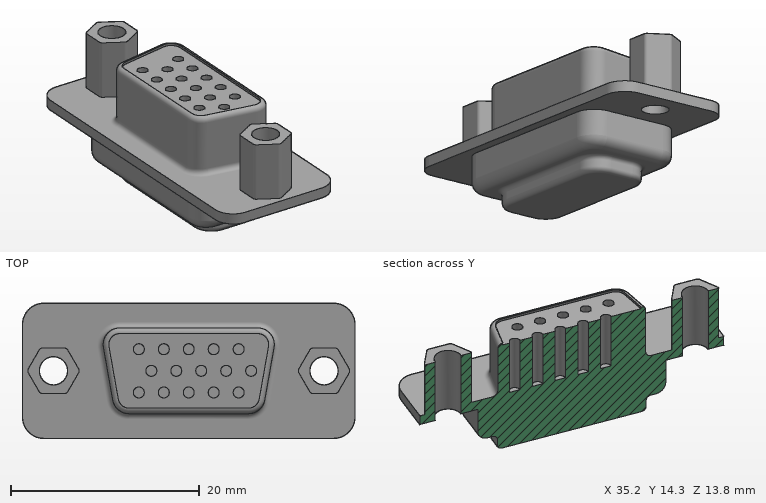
import cadquery as cq
import math

FLANGE_LENGTH = 35.25
FLANGE_WIDTH = 14.35
FLANGE_THICKNESS = 1.2
FLANGE_CORNER = 2.3

SHELL_TOP = 7.9
SHELL_DEPTH = 9.1
SHELL_MID_LENGTH = 17.2
SHELL_SLANT = 10
SHELL_CORNER = 1.75
SHELL_FILLET = 0.6
SHELL_RECESS = 0.25
CONTACT_FACE = SHELL_TOP - SHELL_RECESS

CONTACT_DIAMETER = 1.15
CONTACT_PITCH = 2.65
CONTACT_ROW_SPACING = 2.3
CONTACTS_PER_ROW = 5
CONTACT_DEPTH = CONTACT_FACE - FLANGE_THICKNESS

POST_TOP = 7.7
POST_SPACING = 28.65
POST_ACROSS_FLATS = 4.83
POST_EDGE_RADIUS = 0.42
POST_BORE = 2.95
POST_CENTRES = [(-POST_SPACING / 2, 0), (POST_SPACING / 2, 0)]

HOUSING_LENGTH = 21.85
HOUSING_WIDTH = 12.05
HOUSING_HEIGHT = 4.05
HOUSING_CORNER = 2.25
HOUSING_FILLET = 1.2
PLUG_LENGTH = 17.3
PLUG_WIDTH = 7.55
PLUG_BOTTOM = -5.9
PLUG_CORNER = 2.33
PLUG_FILLET = 0.55
PLUG_ROOT_FILLET = 0.5


def rounded_block(length, width, bottom, height, corner):
    block = cq.Workplane("XY").workplane(offset=bottom).rect(length, width).extrude(height)
    return block.edges("|Z").fillet(corner)


def root_fillet(body, height, half_width, radius):
    """Fillet the closed loop where a block of the given Y half-width meets a face at the given Z."""
    loop = cq.selectors.BoxSelector(
        (-HOUSING_LENGTH / 2, -half_width - radius, height - radius / 2),
        (HOUSING_LENGTH / 2, half_width + radius, height + radius / 2),
    )
    return body.edges(loop).fillet(radius)


def make_shell():
    overhang = SHELL_DEPTH / 2 * math.tan(math.radians(SHELL_SLANT))
    long_half = SHELL_MID_LENGTH / 2 + overhang
    short_half = SHELL_MID_LENGTH / 2 - overhang
    half_depth = SHELL_DEPTH / 2
    outline = [
        (-long_half, half_depth),
        (long_half, half_depth),
        (short_half, -half_depth),
        (-short_half, -half_depth),
    ]
    shell = cq.Workplane("XY").polyline(outline).close().extrude(SHELL_TOP)
    shell = shell.edges("|Z").fillet(SHELL_CORNER)
    shell = shell.faces(">Z").edges().fillet(SHELL_FILLET)
    return shell.faces(">Z").wires().toPending().extrude(-SHELL_RECESS, combine="cut")


def make_rear():
    housing = rounded_block(HOUSING_LENGTH, HOUSING_WIDTH, -HOUSING_HEIGHT, HOUSING_HEIGHT, HOUSING_CORNER)
    housing = housing.faces("<Z").edges().fillet(HOUSING_FILLET)
    plug = rounded_block(PLUG_LENGTH, PLUG_WIDTH, PLUG_BOTTOM, -PLUG_BOTTOM, PLUG_CORNER)
    plug = plug.faces("<Z").edges().fillet(PLUG_FILLET)
    return root_fillet(housing.union(plug), -HOUSING_HEIGHT, PLUG_WIDTH / 2, PLUG_ROOT_FILLET)


def make_posts():
    across_corners = POST_ACROSS_FLATS / math.cos(math.radians(30))
    posts = cq.Workplane("XY").pushPoints(POST_CENTRES).polygon(6, across_corners).extrude(POST_TOP)
    return posts.edges("|Z").fillet(POST_EDGE_RADIUS)


def contact_centres():
    centres = []
    for row in (-1, 0, 1):
        shift = CONTACT_PITCH / 2 if row == 0 else 0
        for column in range(CONTACTS_PER_ROW):
            x = (column - (CONTACTS_PER_ROW - 1) / 2) * CONTACT_PITCH + shift
            centres.append((x, row * CONTACT_ROW_SPACING))
    return centres


def make_contact_holes():
    floor = cq.Workplane("XY").workplane(offset=CONTACT_FACE - CONTACT_DEPTH)
    return floor.pushPoints(contact_centres()).circle(CONTACT_DIAMETER / 2).extrude(CONTACT_DEPTH)


def make_post_bores():
    return cq.Workplane("XY").pushPoints(POST_CENTRES).circle(POST_BORE / 2).extrude(POST_TOP)


flange = rounded_block(FLANGE_LENGTH, FLANGE_WIDTH, 0, FLANGE_THICKNESS, FLANGE_CORNER)
body = flange.union(make_shell())
body = root_fillet(body, FLANGE_THICKNESS, SHELL_DEPTH / 2, SHELL_FILLET)
body = body.union(make_rear()).union(make_posts())

result = body.cut(make_contact_holes()).cut(make_post_bores())